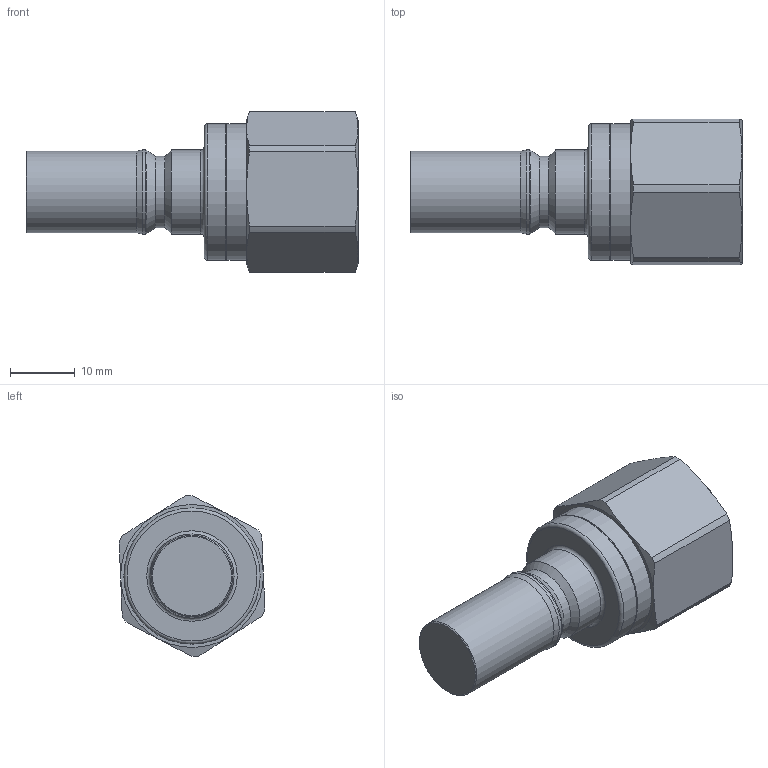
import cadquery as cq
import math

total_length = 51.15
bead_start = 17.0
bead_crest_start = 17.9
bead_crest_end = 18.4
groove_end = 21.4
shoulder_start = 22.37
collar_start = 27.45
seam_start = 30.8
hex_start = 34.0

tip_diameter = 12.5
bead_diameter = 12.95
groove_diameter = 11.0
shoulder_diameter = 12.95
collar_diameter = 21.0

tip_chamfer = 0.15
bead_edge_radius = 0.4
bead_cone_angle = 35.5
shoulder_fillet = 0.5
collar_round = 0.5
seam_width = 0.15
seam_depth = 0.1

across_flats = 22.0
corner_diameter = 24.8
hex_turn = -2.4
hex_face_diameter = 22.0
hex_chamfer_angle = 17.0


def make_turned_body():
    """Solid of revolution: plug tip, bead, locking groove, shoulder and collar."""
    tip_radius = tip_diameter / 2
    bead_radius = bead_diameter / 2
    groove_radius = groove_diameter / 2
    shoulder_radius = shoulder_diameter / 2
    collar_radius = collar_diameter / 2
    cone_angle = math.radians(bead_cone_angle)
    cone_start = bead_crest_end + bead_edge_radius * math.sin(cone_angle)
    cone_radius = bead_radius - bead_edge_radius * (1 - math.cos(cone_angle))
    groove_start = cone_start + (cone_radius - groove_radius) / math.tan(cone_angle)
    fillet_start = collar_start - shoulder_fillet
    fillet_top = shoulder_radius + shoulder_fillet
    fillet_sag = shoulder_fillet * math.sqrt(0.5)
    round_end = collar_start + collar_round
    round_bottom = collar_radius - collar_round
    round_sag = collar_round * math.sqrt(0.5)

    profile = (
        cq.Workplane("XY")
        .moveTo(0, 0)
        .lineTo(0, tip_radius - tip_chamfer)
        .lineTo(tip_chamfer, tip_radius)
        .lineTo(bead_start, tip_radius)
        .lineTo(bead_crest_start, bead_radius)
        .lineTo(bead_crest_end, bead_radius)
        .tangentArcPoint((cone_start, cone_radius), relative=False)
        .lineTo(groove_start, groove_radius)
        .lineTo(groove_end, groove_radius)
        .lineTo(shoulder_start, shoulder_radius)
        .lineTo(fillet_start, shoulder_radius)
        .threePointArc(
            (fillet_start + fillet_sag, fillet_top - fillet_sag),
            (collar_start, fillet_top),
        )
        .lineTo(collar_start, round_bottom)
        .threePointArc((round_end - round_sag, round_bottom + round_sag), (round_end, collar_radius))
        .lineTo(hex_start, collar_radius)
        .lineTo(hex_start, 0)
        .close()
    )
    return profile.revolve(360, (0, 0, 0), (1, 0, 0))


def cut_collar_seam(body):
    """Cut the narrow ring groove around the collar."""
    ring = (
        cq.Workplane("YZ", origin=(seam_start, 0, 0))
        .circle(collar_diameter / 2)
        .circle(collar_diameter / 2 - seam_depth)
        .extrude(seam_width)
    )
    return body.cut(ring)


def make_hex_nut():
    """Hexagon with its corners turned down and both ends chamfered."""
    hex_length = total_length - hex_start
    corner_radius = corner_diameter / 2
    face_radius = hex_face_diameter / 2
    chamfer_length = (corner_radius - face_radius) * math.tan(math.radians(hex_chamfer_angle))

    hexagon = (
        cq.Workplane("YZ", origin=(hex_start, 0, 0))
        .polygon(6, across_flats, circumscribed=True)
        .extrude(hex_length)
        .rotate((0, 0, 0), (1, 0, 0), hex_turn)
    )
    turned_envelope = (
        cq.Workplane("XY")
        .moveTo(hex_start, 0)
        .lineTo(hex_start, face_radius)
        .lineTo(hex_start + chamfer_length, corner_radius)
        .lineTo(total_length - chamfer_length, corner_radius)
        .lineTo(total_length, face_radius)
        .lineTo(total_length, 0)
        .close()
        .revolve(360, (0, 0, 0), (1, 0, 0))
    )
    return hexagon.intersect(turned_envelope)


result = cut_collar_seam(make_turned_body()).union(make_hex_nut())